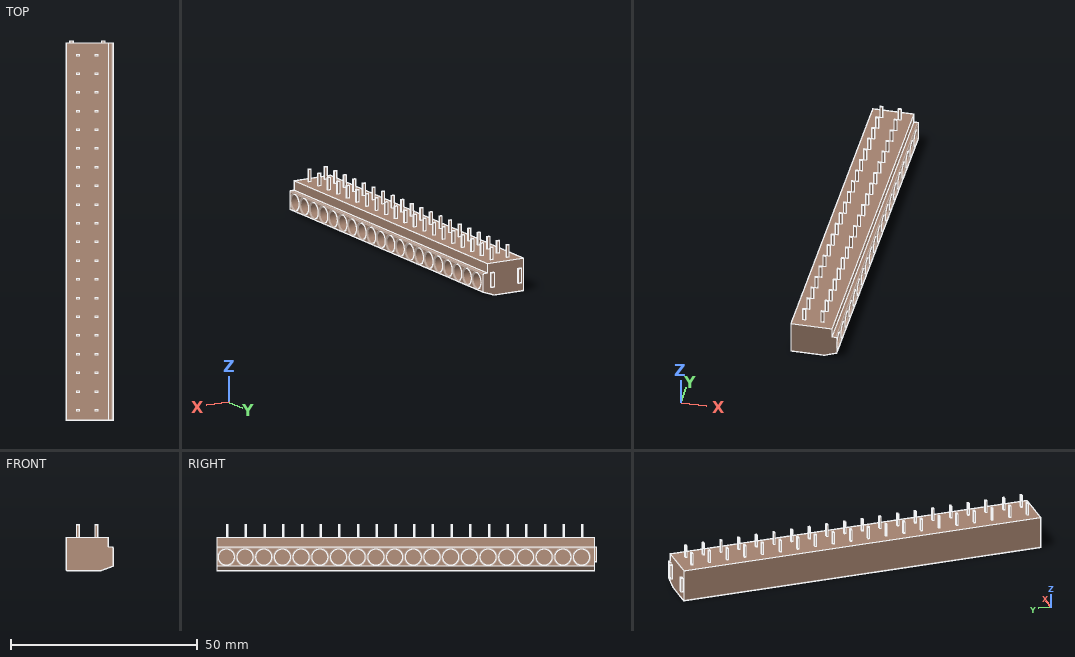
import cadquery as cq

body_length = 101.0
body_width = 12.6
body_height = 9.0
upper_width = 11.3
ledge_height = 6.4
bevel_start = 9.2
bevel_rise = 1.25
edge_radius = 0.3

pole_count = 20
pole_pitch = 5.0
first_entry_y = pole_pitch / 2
first_pin_y = 2.75

pin_rows_x = (3.1, 8.1)
pin_width = 0.8
pin_thickness = 0.4
pin_length = 3.4

entry_diameter = 4.3
entry_depth = 2.8
entry_height = 3.7
entry_rounding = 0.2

rib_depth = 0.5
rib_width = 1.0
rib_bottom = 2.4
rib_top = 6.4
rib_centers_x = (1.4, 9.9)


def pole_positions(first_y):
    """Y position of a feature that repeats at every pole."""
    return [first_y + index * pole_pitch for index in range(pole_count)]


def make_housing():
    """Stepped and bevelled housing with the -Y end face at Y = 0."""
    profile = [
        (0, 0),
        (bevel_start, 0),
        (body_width, bevel_rise),
        (body_width, ledge_height),
        (upper_width, ledge_height),
        (upper_width, body_height),
        (0, body_height),
    ]
    housing = cq.Workplane("XZ").polyline(profile).close().extrude(-body_length)
    rounded_corners = ((0, 0), (body_width, ledge_height))
    for corner_x, corner_z in rounded_corners:
        corner = (corner_x, body_length / 2, corner_z)
        housing = housing.edges(cq.selectors.NearestToPointSelector(corner)).fillet(edge_radius)
    return housing


def make_pins():
    """Two rows of rectangular pins on the top face."""
    centers = [(x, y) for x in pin_rows_x for y in pole_positions(first_pin_y)]
    return (
        cq.Workplane("XY")
        .workplane(offset=body_height)
        .pushPoints(centers)
        .rect(pin_width, pin_thickness)
        .extrude(pin_length)
    )


def cut_wire_entries(housing):
    """Sink the round wire entries into the +X face and round their mouths."""
    cutters = (
        cq.Workplane("YZ")
        .workplane(offset=body_width)
        .pushPoints([(y, entry_height) for y in pole_positions(first_entry_y)])
        .circle(entry_diameter / 2)
        .extrude(-entry_depth)
    )
    return housing.cut(cutters).faces(">X").edges("%CIRCLE").fillet(entry_rounding)


def make_ribs():
    """Upright ribs projecting from the +Y end face."""
    rib_height = rib_top - rib_bottom
    rib_middle = (rib_bottom + rib_top) / 2
    return (
        cq.Workplane("XZ")
        .workplane(offset=-body_length)
        .pushPoints([(x, rib_middle) for x in rib_centers_x])
        .rect(rib_width, rib_height)
        .extrude(-rib_depth)
    )


result = cut_wire_entries(make_housing()).union(make_pins()).union(make_ribs())